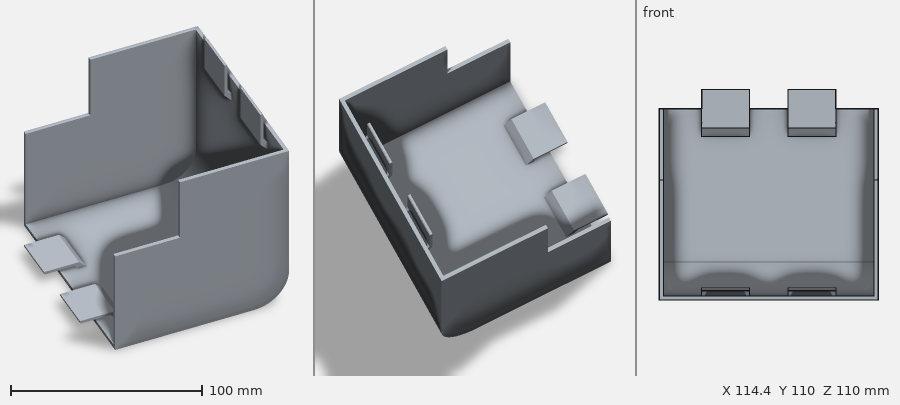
import cadquery as cq

wall = 2.2
inner_width = 110.0
outer_width = inner_width + 2 * wall
leg_length = 100.0
leg_depth = 62.8
corner_radius = 20.0

tab_count = 2
tab_width = 25.0
tab_gap = (inner_width - tab_count * tab_width) / (tab_count + 1)
tab_pitch = tab_width + tab_gap
tab_overhang = 10.0
tab_plate_length = 20.0
tab_thickness = 1.7
tab_clearance = 2.5
tab_tip_chamfer = 0.5
foot_length = 4.6
foot_embed = wall / 2


def extrude_across(profile, width, center_x=0.0):
    """Extrude a YZ profile symmetrically about center_x."""
    return profile.extrude(width / 2, both=True).translate((center_x, 0, 0))


def make_shell():
    outline = (
        cq.Workplane("YZ")
        .moveTo(0, leg_length)
        .lineTo(-leg_depth, leg_length)
        .lineTo(-leg_depth, leg_depth)
        .lineTo(-leg_length, leg_depth)
        .lineTo(-leg_length, 0)
        .lineTo(-corner_radius, 0)
        .radiusArc((0, corner_radius), -corner_radius)
        .close()
    )
    cavity = (
        cq.Workplane("YZ")
        .moveTo(-wall, leg_length)
        .lineTo(-leg_length, leg_length)
        .lineTo(-leg_length, wall)
        .lineTo(-corner_radius, wall)
        .radiusArc((-wall, corner_radius), -(corner_radius - wall))
        .close()
    )
    return extrude_across(outline, outer_width).cut(extrude_across(cavity, inner_width))


def tab_profile():
    """Tab outline as (distance along the leg, height above its outer face)."""
    plate_bottom = wall + tab_clearance
    plate_top = plate_bottom + tab_thickness
    tip = leg_length + tab_overhang
    plate_start = tip - tab_plate_length
    foot_start = plate_start - foot_length
    underside_start = plate_start + tab_clearance
    return [
        (foot_start, wall - foot_embed),
        (foot_start, wall),
        (plate_start, plate_top),
        (tip, plate_top),
        (tip, plate_bottom + tab_tip_chamfer),
        (tip - tab_tip_chamfer, plate_bottom),
        (underside_start, plate_bottom),
        (plate_start, wall),
        (plate_start, wall - foot_embed),
    ]


def make_tab_pair(center_x):
    """One floor tab and the matching back wall tab."""
    floor_points = [(-along, height) for along, height in tab_profile()]
    back_points = [(-height, along) for along, height in tab_profile()]
    floor_tab = extrude_across(cq.Workplane("YZ").polyline(floor_points).close(), tab_width, center_x)
    back_tab = extrude_across(cq.Workplane("YZ").polyline(back_points).close(), tab_width, center_x)
    return floor_tab, back_tab


result = make_shell()
for index in range(tab_count):
    tab_x = (index - (tab_count - 1) / 2) * tab_pitch
    for tab in make_tab_pair(tab_x):
        result = result.union(tab)